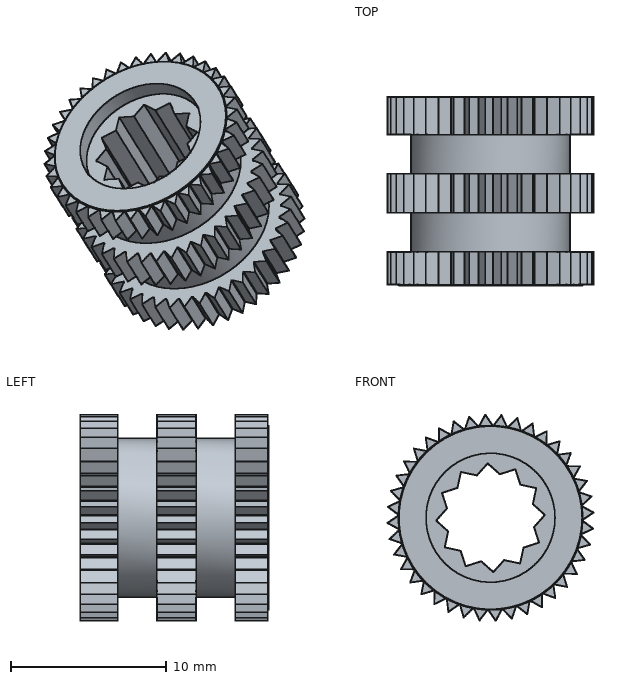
import cadquery as cq
import math

length = 12.19
rear_ring_width = 2.44
middle_ring_width = 2.53
groove_width = 2.52
tooth_setback = 0.07

tip_angle = 2.9

outer_tooth_count = 40
overall_width = 13.32
outer_tip_radius = overall_width / 2 / math.cos(math.radians(tip_angle))
outer_root_radius = 5.91

front_face_diameter = 11.81
core_chamfer = 0.04
core_diameter = front_face_diameter + 2 * core_chamfer
groove_diameter = 10.28
cutter_clearance = 0.67
counterbore_diameter = 8.32
counterbore_depth = 1.15

bore_tooth_count = 12
bore_tip_radius = 3.5
bore_root_radius = 2.86

rear_y = length / 2
front_y = -length / 2


def star_points(tooth_count, tip_radius, root_radius):
    """Alternating tip and root corners, with each root midway between two tips."""
    half_pitch = 180 / tooth_count
    points = []
    for corner in range(2 * tooth_count):
        radius = root_radius if corner % 2 else tip_radius
        angle = math.radians(tip_angle + corner * half_pitch)
        points.append((radius * math.cos(angle), radius * math.sin(angle)))
    return points


def plane_at(y):
    """Work plane facing -Y, with local X along +X and local Y along +Z."""
    return cq.Workplane("XZ", origin=(0, y, 0))


def cylinder(start_y, diameter, depth):
    """Cylinder running from start_y towards -Y."""
    return plane_at(start_y).circle(diameter / 2).extrude(depth)


def star_prism(start_y, depth, points):
    """Toothed prism running from start_y towards -Y."""
    return plane_at(start_y).polyline(points).close().extrude(depth)


def groove_ring(start_y):
    """Ring-shaped cutter that clears the teeth down to the groove diameter."""
    cutter_diameter = 2 * (outer_tip_radius + cutter_clearance)
    outer = cylinder(start_y, cutter_diameter, groove_width)
    return outer.cut(cylinder(start_y, groove_diameter, groove_width))


core = cylinder(rear_y, core_diameter, length).faces("<Y").chamfer(core_chamfer)
outer_points = star_points(outer_tooth_count, outer_tip_radius, outer_root_radius)
body = core.union(star_prism(rear_y, length - tooth_setback, outer_points))

first_groove_y = rear_y - rear_ring_width
second_groove_y = first_groove_y - groove_width - middle_ring_width
for groove_y in (first_groove_y, second_groove_y):
    body = body.cut(groove_ring(groove_y))

bore_points = star_points(bore_tooth_count, bore_tip_radius, bore_root_radius)
body = body.cut(star_prism(rear_y, length, bore_points))

result = body.cut(cylinder(front_y + counterbore_depth, counterbore_diameter, counterbore_depth))